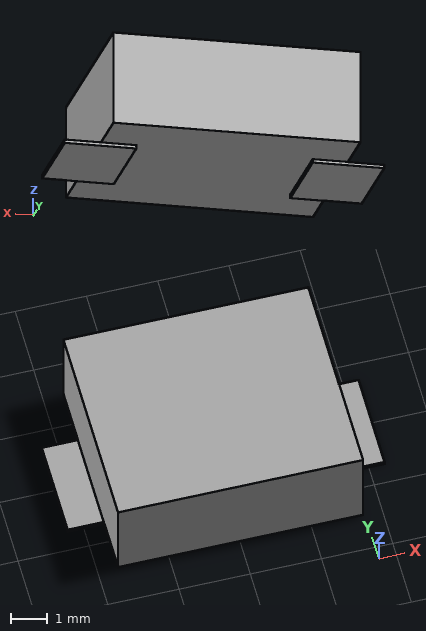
import cadquery as cq

overall_length = 8.9
overall_height = 2.72

terminal_length = 1.99
terminal_width = 2.8
terminal_thickness = 0.1

housing_length = 6.88
housing_width = 5.9
housing_height = overall_height - terminal_thickness


def make_housing():
    """Plain block whose underside sits on top of the terminals."""
    return (
        cq.Workplane("XY")
        .workplane(offset=terminal_thickness)
        .rect(housing_length, housing_width)
        .extrude(housing_height)
    )


def make_terminal(side):
    """Flat plate reaching the end of the part on the given X side (-1 or +1)."""
    center_x = side * (overall_length - terminal_length) / 2
    return (
        cq.Workplane("XY")
        .center(center_x, 0)
        .rect(terminal_length, terminal_width)
        .extrude(terminal_thickness)
    )


housing = make_housing()
terminals = [make_terminal(side) for side in (-1, 1)]

result = cq.Compound.makeCompound(
    [housing.val(), *[terminal.val() for terminal in terminals]]
)